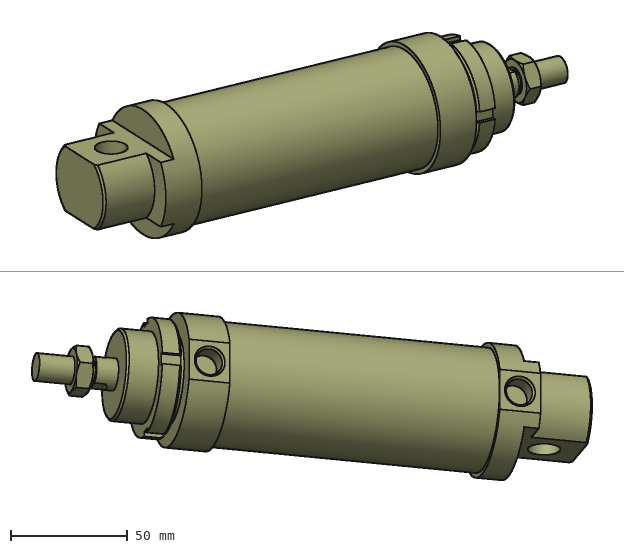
import cadquery as cq
import math

TOTAL_LENGTH = 242.0

TUBE_DIA = 54.0
CAP_DIA = 58.0
CAP_LENGTH = 18.2
REAR_CAP_Y = 25.5
FRONT_CAP_END_Y = 181.7
FRONT_CAP_Y = FRONT_CAP_END_Y - CAP_LENGTH
REAR_CAP_END_Y = REAR_CAP_Y + CAP_LENGTH

PORT_FLAT_X = -27.5
PORT_DIA = 11.5
PORT_CHAMFER = 1.0
PORT_DEPTH = 9.7
PORT_OFFSET = 9.0

BOSS_DIA = 40.0
BOSS_CHAMFER = 1.0
BOSS_END_Y = 207.2
CLEVIS_THICKNESS = 30.0
CLEVIS_SHOULDER_Y = 32.0
PIN_HOLE_DIA = 14.0
PIN_HOLE_Y = 16.0

RING_DIA = 51.8
RING_Y = 184.5
RING_THICKNESS = 8.7
RING_CHAMFER = 1.0
RING_SLOTS = 4
RING_SLOT_WIDTH = 5.0
RING_SLOT_DEPTH = 2.0

ROD_DIA = 14.0
ROD_END_Y = 216.8
NECK_DIA = 10.2
THREAD_DIA = 12.0
WRENCH_FLATS = 12.0
WRENCH_FLAT_LENGTH = 6.3
WRENCH_FLAT_RADIUS = 2.0

NUT_Y = 219.0
NUT_THICKNESS = 7.3
NUT_FLATS = 19.0
NUT_CORNERS = NUT_FLATS / math.cos(math.pi / 6)
NUT_CHAMFER_ANGLE = 30.0


def axial_plane(y):
    """Plane across the cylinder axis at the given Y, facing the rod tip."""
    return cq.Workplane(cq.Plane(origin=(0, y, 0), xDir=(1, 0, 0), normal=(0, 1, 0)))


def cylinder(diameter, y_start, y_end):
    return axial_plane(y_start).circle(diameter / 2).extrude(y_end - y_start)


def end_cap(y_start):
    """Round cap with a flat along its -X side."""
    cap = cylinder(CAP_DIA, y_start, y_start + CAP_LENGTH)
    kept_width = CAP_DIA / 2 - PORT_FLAT_X
    kept = cq.Workplane("XY").box(kept_width, CAP_LENGTH, CAP_DIA, centered=(False, False, True))
    return cap.intersect(kept.translate((PORT_FLAT_X, y_start, 0)))


def port(y):
    """Blind port with a chamfered mouth, cut in from the -X flat."""
    mouth = cq.Workplane("YZ", origin=(PORT_FLAT_X, y, 0))
    bore = mouth.circle(PORT_DIA / 2).extrude(PORT_DEPTH)
    countersink = mouth.circle(PORT_DIA / 2 + PORT_CHAMFER).extrude(PORT_CHAMFER, taper=45)
    return bore.union(countersink)


def clevis_relief(side):
    """Material removed from one Z side (+1 or -1) of the tail and the rear of its cap."""
    relief_height = (CAP_DIA - CLEVIS_THICKNESS) / 2
    middle_z = side * (CLEVIS_THICKNESS + relief_height) / 2
    relief = cq.Workplane("XY").box(CAP_DIA, CLEVIS_SHOULDER_Y, relief_height, centered=(True, False, True))
    return relief.translate((0, 0, middle_z))


def make_housing():
    tube = cylinder(TUBE_DIA, REAR_CAP_END_Y, FRONT_CAP_Y)
    boss = cylinder(BOSS_DIA, FRONT_CAP_END_Y, BOSS_END_Y).faces(">Y").chamfer(BOSS_CHAMFER)
    tail = cylinder(BOSS_DIA, 0, REAR_CAP_Y).faces("<Y").chamfer(BOSS_CHAMFER)
    body = tube.union(end_cap(REAR_CAP_Y)).union(end_cap(FRONT_CAP_Y)).union(boss).union(tail)

    for side in (1, -1):
        body = body.cut(clevis_relief(side))
    pin_hole = cq.Workplane("XY").center(0, PIN_HOLE_Y).circle(PIN_HOLE_DIA / 2)
    body = body.cut(pin_hole.extrude(CLEVIS_THICKNESS / 2, both=True))

    for port_y in (REAR_CAP_END_Y - PORT_OFFSET, FRONT_CAP_Y + PORT_OFFSET):
        body = body.cut(port(port_y))
    return body


def make_ring_nut():
    ring = cylinder(RING_DIA, RING_Y, RING_Y + RING_THICKNESS).faces("<Y").chamfer(RING_CHAMFER)
    ring = ring.cut(cylinder(BOSS_DIA, RING_Y, RING_Y + RING_THICKNESS))
    slots = (
        axial_plane(RING_Y)
        .polarArray(RING_DIA / 2, 0, 360, RING_SLOTS)
        .rect(2 * RING_SLOT_DEPTH, RING_SLOT_WIDTH)
        .extrude(RING_THICKNESS)
    )
    return ring.cut(slots)


def wrench_flat(side):
    """Cutter for one flat (+1 or -1 in Z) of the rod, curving out to the rod surface at its inner end."""
    cutter = cq.Workplane("XY").box(ROD_DIA, WRENCH_FLAT_LENGTH, ROD_DIA, centered=(True, False, True))
    flat_face = "<Z" if side > 0 else ">Z"
    cutter = cutter.faces(flat_face).edges("<Y").fillet(WRENCH_FLAT_RADIUS)
    return cutter.translate((0, ROD_END_Y - WRENCH_FLAT_LENGTH, side * (WRENCH_FLATS + ROD_DIA) / 2))


def make_rod():
    shank = cylinder(ROD_DIA, BOSS_END_Y, ROD_END_Y)
    for side in (1, -1):
        shank = shank.cut(wrench_flat(side))
    neck = cylinder(NECK_DIA, ROD_END_Y, NUT_Y)
    thread = cylinder(THREAD_DIA, NUT_Y, TOTAL_LENGTH)
    return shank.union(neck).union(thread)


def make_rod_nut():
    """Hexagon with two flats facing +Z and -Z, its corners turned off at both ends."""
    hexagon = axial_plane(NUT_Y).polygon(6, NUT_CORNERS).extrude(NUT_THICKNESS)
    radial = (NUT_CORNERS - NUT_FLATS) / 2
    axial = radial * math.tan(math.radians(NUT_CHAMFER_ANGLE))
    envelope = cylinder(NUT_CORNERS, NUT_Y, NUT_Y + NUT_THICKNESS)
    envelope = envelope.faces(">Y").chamfer(axial, radial).faces("<Y").chamfer(axial, radial)
    bore = cylinder(THREAD_DIA, NUT_Y, NUT_Y + NUT_THICKNESS)
    return hexagon.intersect(envelope).cut(bore)


housing = make_housing()
ring_nut = make_ring_nut()
rod = make_rod()
rod_nut = make_rod_nut()

result = cq.Compound.makeCompound([housing.val(), ring_nut.val(), rod.val(), rod_nut.val()])